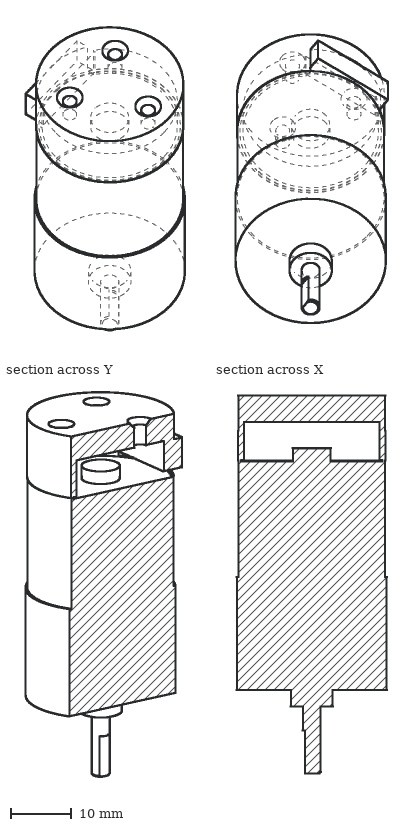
import cadquery as cq


total_length = 62.3
gearbox_diameter = 24.8
gearbox_length = 18.6
motor_diameter = 24.2
motor_length = 19.2
cap_diameter = 24.3
cap_length = 10.7

pilot_diameter = 7.0
pilot_length = 2.75
shaft_diameter = 3.0
shaft_chamfer = 0.25
flat_offset = 1.1
flat_length = 7.1

cap_inner_diameter = 22.3
cap_roof_thickness = 4.4
rear_recess_diameter = 23.3
rear_recess_depth = 0.2
rear_boss_diameter = 6.3
rear_boss_height = 2.0

connector_width = 14.15
connector_height = 5.25
connector_depth = 3.75
connector_face_x = -12.0

hole_diameter = 2.3
countersink_diameter = 4.25
countersink_angle = 90.0
hole_positions = [(7.9, 0.0), (-3.55, 6.2), (-3.55, -6.2)]

motor_rear_z = gearbox_length + motor_length
cap_top_z = motor_rear_z + cap_length
cap_roof_z = cap_top_z - cap_roof_thickness
shaft_end_z = cap_top_z - total_length


def cylinder(diameter, bottom_z, top_z):
    """Cylinder on the Z axis between two levels."""
    return cq.Workplane("XY").workplane(offset=bottom_z).circle(diameter / 2).extrude(top_z - bottom_z)


def box_between(x_min, x_max, y_min, y_max, z_min, z_max):
    """Axis-aligned box given by its limits."""
    size = (x_max - x_min, y_max - y_min, z_max - z_min)
    return cq.Workplane("XY").box(*size, centered=False).translate((x_min, y_min, z_min))


def make_shaft():
    """Chamfered shaft with a flat on its +Y side, running to the tip."""
    radius = shaft_diameter / 2
    shaft = cylinder(shaft_diameter, shaft_end_z, 0).faces("<Z").chamfer(shaft_chamfer)
    flat = box_between(-radius, radius, flat_offset, radius, shaft_end_z, shaft_end_z + flat_length)
    return shaft.cut(flat)


def make_motor():
    """Motor can with a shallow rear recess and a central bearing boss."""
    recess_floor_z = motor_rear_z - rear_recess_depth
    can = cylinder(motor_diameter, gearbox_length, motor_rear_z)
    recess = cylinder(rear_recess_diameter, recess_floor_z, motor_rear_z)
    boss = cylinder(rear_boss_diameter, recess_floor_z, motor_rear_z + rear_boss_height)
    return can.cut(recess).union(boss)


def make_cap():
    """Hollow cap with a side opening for the connector and countersunk roof holes."""
    half_width = connector_width / 2
    shell = cylinder(cap_diameter, motor_rear_z, cap_top_z)
    cavity = cylinder(cap_inner_diameter, motor_rear_z, cap_roof_z)
    opening = box_between(-cap_diameter / 2, 0, -half_width, half_width, motor_rear_z, cap_roof_z)
    return (
        shell.cut(cavity)
        .cut(opening)
        .faces(">Z")
        .workplane(origin=(0, 0, cap_top_z))
        .pushPoints(hole_positions)
        .cskHole(hole_diameter, countersink_diameter, countersink_angle, depth=cap_roof_thickness)
    )


def make_connector():
    """Connector block under the cap roof, leaving a gap above the motor."""
    half_width = connector_width / 2
    return box_between(
        connector_face_x,
        connector_face_x + connector_depth,
        -half_width,
        half_width,
        cap_roof_z - connector_height,
        cap_roof_z,
    )


gearbox = cylinder(gearbox_diameter, 0, gearbox_length)
pilot = cylinder(pilot_diameter, -pilot_length, 0)

result = gearbox.union(pilot).union(make_shaft()).union(make_motor()).union(make_cap()).union(make_connector())